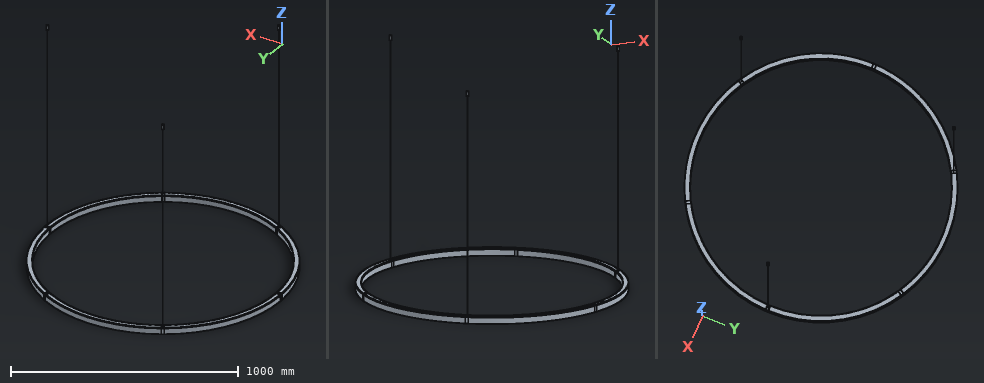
import cadquery as cq
import math

TOTAL_HEIGHT = 1054.0
RING_OUTER_DIAMETER = 1200.0
RING_INNER_DIAMETER = 1147.0
RING_HEIGHT = 34.0

COVER_OUTER_DIAMETER = 1198.0
COVER_INNER_DIAMETER = 1151.0
COVER_HEIGHT = 5.0
HOUSING_HEIGHT = RING_HEIGHT - COVER_HEIGHT

JOINT_COUNT = 6
JOINT_WIDTH = 13.0
JOINT_DEPTH = 0.6
JOINT_FLOOR = RING_HEIGHT - JOINT_DEPTH

SUSPENSION_COUNT = 3
SUSPENSION_RADIUS = (RING_OUTER_DIAMETER + RING_INNER_DIAMETER) / 4
WIRE_DIAMETER = 1.0
GRIPPER_DIAMETER = 11.0
GRIPPER_HEIGHT = 22.0
NIPPLE_DIAMETER = 4.0
NIPPLE_HEIGHT = 2.0
GRIPPER_BASE = TOTAL_HEIGHT - NIPPLE_HEIGHT - GRIPPER_HEIGHT


def make_ring(outer_diameter, inner_diameter, base, height):
    """Flat ring of rectangular section, centred on the Z axis."""
    return (
        cq.Workplane("XY", origin=(0, 0, base))
        .circle(outer_diameter / 2)
        .circle(inner_diameter / 2)
        .extrude(height)
    )


def make_joint_strips(base, height):
    """Radial strips, one at each joint, reaching across the whole ring wall."""
    return (
        cq.Workplane("XY", origin=(0, 0, base))
        .polarArray(SUSPENSION_RADIUS, 0, 360, JOINT_COUNT)
        .rect(RING_OUTER_DIAMETER - RING_INNER_DIAMETER, JOINT_WIDTH)
        .extrude(height)
    )


def make_housing():
    """Lower ring, recessed at each joint on its outer and inner walls."""
    housing = make_ring(RING_OUTER_DIAMETER, RING_INNER_DIAMETER, 0, HOUSING_HEIGHT)
    core = make_ring(
        RING_OUTER_DIAMETER - 2 * JOINT_DEPTH, RING_INNER_DIAMETER + 2 * JOINT_DEPTH, 0, HOUSING_HEIGHT
    )
    return housing.cut(make_joint_strips(0, HOUSING_HEIGHT).cut(core))


def make_cover():
    """Upper ring, recessed at each joint on its top face."""
    cover = make_ring(COVER_OUTER_DIAMETER, COVER_INNER_DIAMETER, HOUSING_HEIGHT, COVER_HEIGHT)
    return cover.cut(make_joint_strips(JOINT_FLOOR, JOINT_DEPTH))


def make_wire(x, y):
    """Wire standing on the floor of a joint recess and ending at the underside of its gripper."""
    return (
        cq.Workplane("XY", origin=(x, y, JOINT_FLOOR))
        .circle(WIRE_DIAMETER / 2)
        .extrude(GRIPPER_BASE - JOINT_FLOOR)
    )


def make_gripper(x, y):
    """Cylindrical gripper with a small nipple on its top."""
    return (
        cq.Workplane("XY", origin=(x, y, GRIPPER_BASE))
        .circle(GRIPPER_DIAMETER / 2)
        .extrude(GRIPPER_HEIGHT)
        .faces(">Z")
        .workplane()
        .circle(NIPPLE_DIAMETER / 2)
        .extrude(NIPPLE_HEIGHT)
    )


housing = make_housing()
cover = make_cover()
wires = []
grippers = []
for index in range(SUSPENSION_COUNT):
    angle = 2 * math.pi * index / SUSPENSION_COUNT
    x = SUSPENSION_RADIUS * math.cos(angle)
    y = SUSPENSION_RADIUS * math.sin(angle)
    wires.append(make_wire(x, y).val())
    grippers.append(make_gripper(x, y).val())

result = cq.Compound.makeCompound([housing.val(), cover.val(), *wires, *grippers])